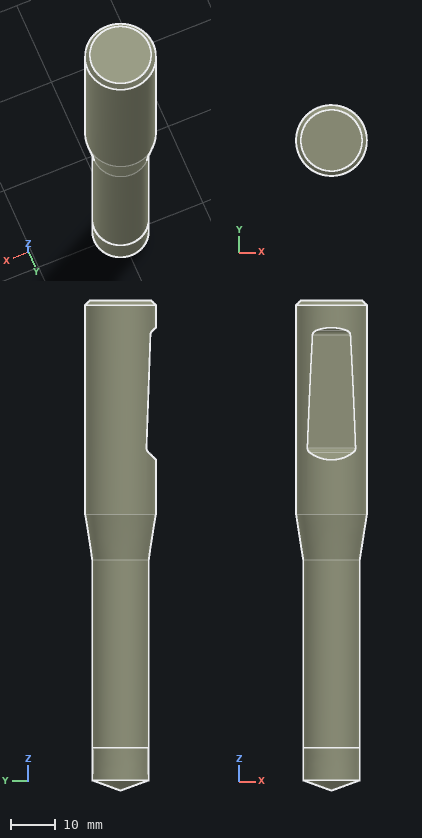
import cadquery as cq
import math

TOTAL_LENGTH = 110.0
SHANK_DIAMETER = 16.0
DRILL_DIAMETER = 12.8
BODY_DIAMETER = 12.8

HEAD_BACK_TAPER = 0.07
POINT_ANGLE = 140.0
HEAD_SEAM_Z = 9.7

NECK_BOTTOM_Z = 51.8
NECK_TOP_Z = 62.0
SHANK_CHAMFER = 1.1

NOTCH_FLOOR_TOP_Z = 102.8
NOTCH_FLOOR_BOTTOM_Z = 76.3
NOTCH_TOP_DEPTH = 1.2
NOTCH_FLOOR_ANGLE = 2.0
NOTCH_UPPER_WALL_SLOPE = 40.0
NOTCH_LOWER_WALL_SLOPE = 45.0
NOTCH_CORNER_RADIUS = 1.4

SHANK_RADIUS = SHANK_DIAMETER / 2
BODY_RADIUS = BODY_DIAMETER / 2
DRILL_RADIUS = DRILL_DIAMETER / 2
HEAD_SEAM_RADIUS = DRILL_RADIUS - HEAD_BACK_TAPER / 2
POINT_HEIGHT = DRILL_RADIUS / math.tan(math.radians(POINT_ANGLE / 2))


def make_drill_head():
    """Pointed head whose side tapers slightly inwards towards the seam."""
    half_profile = (
        cq.Workplane("XZ")
        .polyline([
            (0, 0),
            (DRILL_RADIUS, POINT_HEIGHT),
            (HEAD_SEAM_RADIUS, HEAD_SEAM_Z),
            (0, HEAD_SEAM_Z),
        ])
        .close()
    )
    return half_profile.revolve(360, (0, 0), (0, 1))


def make_clamping_notch():
    """Cutter for the notch on the -Y side, extruded across the whole shank."""
    surface_y = -SHANK_RADIUS
    floor_top_y = surface_y + NOTCH_TOP_DEPTH
    floor_length = NOTCH_FLOOR_TOP_Z - NOTCH_FLOOR_BOTTOM_Z
    floor_drop = floor_length * math.tan(math.radians(NOTCH_FLOOR_ANGLE))
    floor_bottom_y = floor_top_y + floor_drop
    bottom_depth = floor_bottom_y - surface_y
    upper_flare = NOTCH_TOP_DEPTH * math.tan(math.radians(NOTCH_UPPER_WALL_SLOPE))
    lower_flare = bottom_depth * math.tan(math.radians(NOTCH_LOWER_WALL_SLOPE))
    top_z = NOTCH_FLOOR_TOP_Z + upper_flare
    bottom_z = NOTCH_FLOOR_BOTTOM_Z - lower_flare
    cutter = (
        cq.Workplane("YZ")
        .polyline([
            (surface_y, top_z),
            (floor_top_y, NOTCH_FLOOR_TOP_Z),
            (floor_bottom_y, NOTCH_FLOOR_BOTTOM_Z),
            (surface_y, bottom_z),
        ])
        .close()
        .extrude(SHANK_RADIUS, both=True)
    )
    floor_corners = cutter.edges("|X and (not <Y)")
    return floor_corners.fillet(NOTCH_CORNER_RADIUS)


def make_drill_body():
    """Round body, conical neck and chamfered shank with its clamping notch."""
    half_profile = (
        cq.Workplane("XZ")
        .polyline([
            (0, HEAD_SEAM_Z),
            (BODY_RADIUS, HEAD_SEAM_Z),
            (BODY_RADIUS, NECK_BOTTOM_Z),
            (SHANK_RADIUS, NECK_TOP_Z),
            (SHANK_RADIUS, TOTAL_LENGTH - SHANK_CHAMFER),
            (SHANK_RADIUS - SHANK_CHAMFER, TOTAL_LENGTH),
            (0, TOTAL_LENGTH),
        ])
        .close()
    )
    body = half_profile.revolve(360, (0, 0), (0, 1))
    return body.cut(make_clamping_notch())


drill_head = make_drill_head()
drill_body = make_drill_body()

result = cq.Compound.makeCompound([drill_head.val(), drill_body.val()])